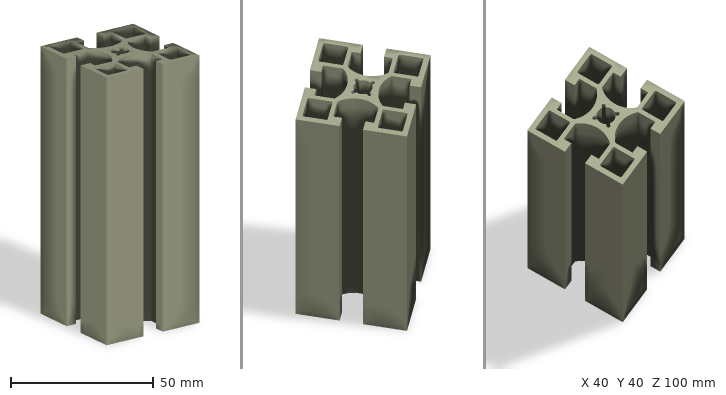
import cadquery as cq
import math

side = 40.0
length = 100.0
half_side = side / 2

mouth_width = 8.4
lip_depth = 4.1
chamber_width = 14.7
floor_middle = 5.7
floor_edge = 8.7

pocket_size = 9.0
pocket_center = 13.5
pocket_fillet = 0.5

bore_diameter = 6.7
relief_width = 1.4
relief_end_center = 2.95


def t_slot(angle):
    """Cutter for the slot on the +Y side, turned about Z by angle."""
    mouth_half = mouth_width / 2
    chamber_half = chamber_width / 2
    lip_inside = half_side - lip_depth
    return (
        cq.Workplane("XY")
        .moveTo(-mouth_half, half_side)
        .lineTo(-mouth_half, lip_inside)
        .lineTo(-chamber_half, lip_inside)
        .lineTo(-chamber_half, floor_edge)
        .threePointArc((0, floor_middle), (chamber_half, floor_edge))
        .lineTo(chamber_half, lip_inside)
        .lineTo(mouth_half, lip_inside)
        .lineTo(mouth_half, half_side)
        .close()
        .extrude(length)
        .rotate((0, 0, 0), (0, 0, 1), angle)
    )


def corner_pockets():
    """Four square through-holes with rounded corners."""
    spacing = 2 * pocket_center
    return (
        cq.Workplane("XY")
        .rarray(spacing, spacing, 2, 2)
        .rect(pocket_size, pocket_size)
        .extrude(length)
        .edges("|Z")
        .fillet(pocket_fillet)
    )


def central_bore():
    """Round bore joined with two crossing diagonal slots."""
    bore = cq.Workplane("XY").circle(bore_diameter / 2).extrude(length)
    relief_length = 2 * relief_end_center * math.sqrt(2) + relief_width
    for angle in (45, 135):
        relief = cq.Workplane("XY").slot2D(relief_length, relief_width, angle).extrude(length)
        bore = bore.union(relief)
    return bore


result = cq.Workplane("XY").rect(side, side).extrude(length)
for slot_angle in (0, 90, 180, 270):
    result = result.cut(t_slot(slot_angle))
result = result.cut(corner_pockets()).cut(central_bore())